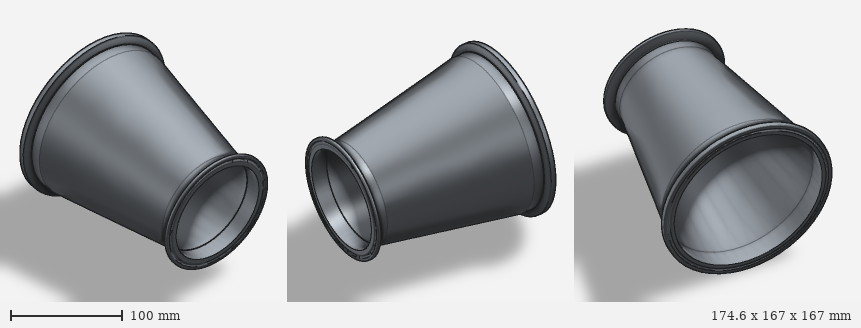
import cadquery as cq
import math

length = 174.6

large_flange_diameter = 167.0
large_outer_diameter = 152.5
large_bore_diameter = 146.9
large_rim_width = 5.8
large_straight_length = 19.0
large_groove_radius = 78.5

small_flange_diameter = 119.0
small_outer_diameter = 101.6
small_bore_diameter = 97.5
small_rim_width = 3.3
small_straight_length = 15.7
small_groove_radius = 55.2

clamp_angle = 20.0
edge_radius = 0.7
groove_depth = 0.9
groove_width = 3.0
groove_lip_radius = 0.7

tolerance = 0.02


def revolve_about_x(points):
    """Revolve a closed outline of (x, radius) points about the X axis."""
    return cq.Workplane("XY").polyline(points).close().revolve(360, (0, 0, 0), (1, 0, 0))


def clamp_base_offset(flange_diameter, outer_diameter, rim_width):
    """Distance from the end face to where the clamp slope meets the tube."""
    rise = (flange_diameter - outer_diameter) / 2
    return rim_width + rise * math.tan(math.radians(clamp_angle))


def make_body():
    large_clamp_base = clamp_base_offset(large_flange_diameter, large_outer_diameter, large_rim_width)
    small_clamp_base = clamp_base_offset(small_flange_diameter, small_outer_diameter, small_rim_width)
    large_wall = (large_outer_diameter - large_bore_diameter) / 2
    cone_end_bore_diameter = small_outer_diameter - 2 * large_wall
    cone_start = large_straight_length
    cone_end = length - small_straight_length
    return revolve_about_x([
        (0, large_bore_diameter / 2),
        (0, large_flange_diameter / 2),
        (large_rim_width, large_flange_diameter / 2),
        (large_clamp_base, large_outer_diameter / 2),
        (cone_start, large_outer_diameter / 2),
        (cone_end, small_outer_diameter / 2),
        (length - small_clamp_base, small_outer_diameter / 2),
        (length - small_rim_width, small_flange_diameter / 2),
        (length, small_flange_diameter / 2),
        (length, small_bore_diameter / 2),
        (cone_end, small_bore_diameter / 2),
        (cone_end, cone_end_bore_diameter / 2),
        (cone_start, large_bore_diameter / 2),
    ])


def round_flange(body, face_x, inward, flange_diameter, outer_diameter, rim_width):
    """Round both rim corners and the root of one clamp flange."""
    root_x = face_x + inward * clamp_base_offset(flange_diameter, outer_diameter, rim_width)
    corners = [
        (face_x, flange_diameter / 2),
        (face_x + inward * rim_width, flange_diameter / 2),
        (root_x, outer_diameter / 2),
    ]
    edges = [
        edge
        for edge in body.edges("%CIRCLE").vals()
        for x, radius in corners
        if abs(edge.Center().x - x) < tolerance and abs(edge.radius() - radius) < tolerance
    ]
    return body.newObject(edges).fillet(edge_radius)


def cut_gasket_groove(body, face_x, inward, groove_radius):
    """Cut a round-bottomed gasket groove into an end face and round its two lips."""
    inner_radius = groove_radius - groove_width / 2
    outer_radius = groove_radius + groove_width / 2
    ring = (
        cq.Workplane("XY")
        .moveTo(face_x, inner_radius)
        .threePointArc((face_x + inward * groove_depth, groove_radius), (face_x, outer_radius))
        .close()
        .revolve(360, (0, 0, 0), (1, 0, 0))
    )
    grooved = body.cut(ring)
    lips = [
        edge
        for edge in grooved.edges("%CIRCLE").vals()
        if abs(edge.Center().x - face_x) < tolerance
        and min(abs(edge.radius() - inner_radius), abs(edge.radius() - outer_radius)) < tolerance
    ]
    return grooved.newObject(lips).fillet(groove_lip_radius)


result = make_body()
result = round_flange(result, 0, 1, large_flange_diameter, large_outer_diameter, large_rim_width)
result = round_flange(result, length, -1, small_flange_diameter, small_outer_diameter, small_rim_width)
result = cut_gasket_groove(result, 0, 1, large_groove_radius)
result = cut_gasket_groove(result, length, -1, small_groove_radius)